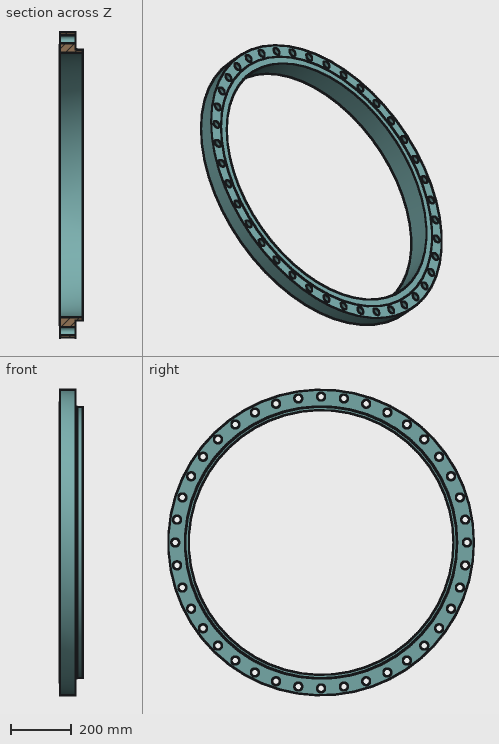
import cadquery as cq

outer_diameter = 1005.0
bore_diameter = 869.0
overall_length = 76.0

raised_face_diameter = 919.0
raised_face_height = 1.0
flange_back = 52.0

neck_diameter = 891.0
root_diameter = 895.0
root_length = 6.0

bolt_count = 40
bolt_circle_diameter = 959.0
bolt_hole_diameter = 25.0


def ring_body():
    """Half section (distance along X, radius) turned about the X axis."""
    root_end = flange_back + root_length
    section = [
        (0, bore_diameter / 2),
        (0, raised_face_diameter / 2),
        (raised_face_height, raised_face_diameter / 2),
        (raised_face_height, outer_diameter / 2),
        (flange_back, outer_diameter / 2),
        (flange_back, root_diameter / 2),
        (root_end, neck_diameter / 2),
        (overall_length, neck_diameter / 2),
        (overall_length, bore_diameter / 2),
    ]
    return cq.Workplane("XY").polyline(section).close().revolve(360, (0, 0, 0), (1, 0, 0))


def bolt_holes():
    """Cutters for the bolt holes, the first one on the +Y axis."""
    return (
        cq.Workplane("YZ")
        .polarArray(bolt_circle_diameter / 2, 0, 360, bolt_count)
        .circle(bolt_hole_diameter / 2)
        .extrude(flange_back)
    )


result = ring_body().cut(bolt_holes())